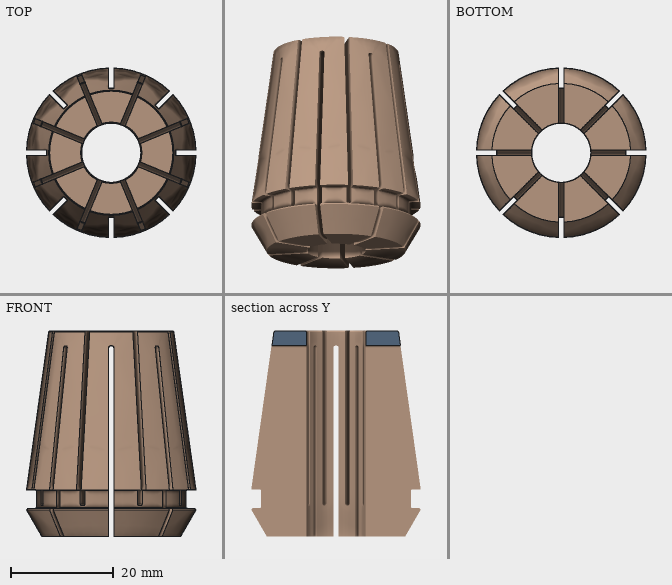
import cadquery as cq
import math

length = 40.0
max_radius = 33.0 / 2
bore_radius = 11.5 / 2

nose_angle = 30.0
nose_rim_z = 5.2
flange_chamfer = 0.3
flange_top_z = nose_rim_z + flange_chamfer
nose_bottom_radius = max_radius - nose_rim_z * math.tan(math.radians(nose_angle))

neck_radius = 14.6
neck_corner = 0.15
cone_bottom_z = 9.1

cone_angle = 8.0
cone_slope = math.tan(math.radians(cone_angle))
top_chamfer = 0.2
bore_chamfer = 0.2

slot_count = 8
slot_width = 1.0
slot_corner_radius = 0.4
nose_slot_end_z = 37.1
top_slot_end_z = 6.0


def cone_radius(z):
    """Radius of the clamping cone at height z."""
    return max_radius - (z - cone_bottom_z) * cone_slope


def make_body():
    """Revolve the unslotted collet, bore included, about the Z axis."""
    chamfer_z = length - top_chamfer
    profile = (
        cq.Workplane("XZ")
        .moveTo(bore_radius, 0)
        .lineTo(nose_bottom_radius, 0)
        .lineTo(max_radius, nose_rim_z)
        .lineTo(max_radius - flange_chamfer, flange_top_z)
        .lineTo(neck_radius + neck_corner, flange_top_z)
        .lineTo(neck_radius, flange_top_z + neck_corner)
        .lineTo(neck_radius, cone_bottom_z - neck_corner)
        .lineTo(neck_radius + neck_corner, cone_bottom_z)
        .lineTo(max_radius, cone_bottom_z)
        .lineTo(cone_radius(chamfer_z), chamfer_z)
        .lineTo(cone_radius(chamfer_z) - top_chamfer, length)
        .lineTo(bore_radius + bore_chamfer, length)
        .lineTo(bore_radius, length - bore_chamfer)
        .close()
    )
    return profile.revolve(360, (0, 0, 0), (0, 1, 0))


def make_slot(closed_end_z, open_end_z):
    """Slot cutter reaching outward along +X from the axis, with rounded corners at its closed end."""
    slot_length = abs(open_end_z - closed_end_z)
    slot_reach = max_radius + slot_width
    closed_edges = "|X and <Z" if open_end_z > closed_end_z else "|X and >Z"
    return (
        cq.Workplane("XY")
        .box(slot_reach, slot_width, slot_length, centered=(False, True, False))
        .edges(closed_edges)
        .fillet(slot_corner_radius)
        .translate((0, 0, min(open_end_z, closed_end_z)))
    )


def cut_slots(body, slot, first_angle):
    """Cut the slot at equal steps around the Z axis."""
    for index in range(slot_count):
        angle = first_angle + index * 360 / slot_count
        body = body.cut(slot.rotate((0, 0, 0), (0, 0, 1), angle))
    return body


nose_slot = make_slot(nose_slot_end_z, 0)
top_slot = make_slot(top_slot_end_z, length)
half_step = 180 / slot_count

result = make_body()
result = cut_slots(result, nose_slot, 0)
result = cut_slots(result, top_slot, half_step)